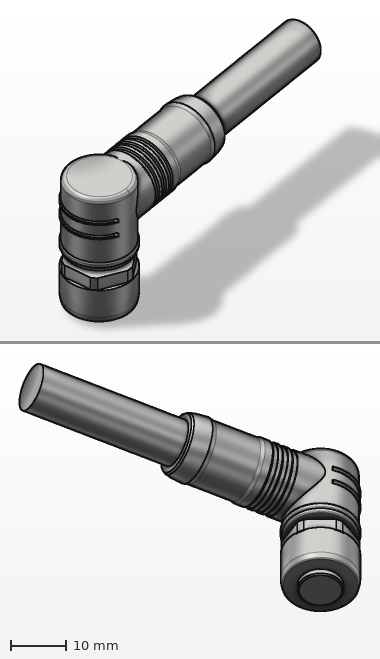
import cadquery as cq
import math


housing_top = 29.7
housing_bottom = 13.1
housing_radius = 7.0
housing_top_fillet = 1.0
housing_bottom_fillet = 0.3

hex_top = 11.65
nut_top = 8.9
nut_taper_top = 2.7
nut_bottom = 1.35
nut_radius = 7.3
nut_end_radius = 7.0
nut_end_fillet = 0.3
hex_across_flats = 13.0
hex_corner_radius = 7.15
neck_radius = 4.0
insert_radius = 4.2
insert_chamfer = 0.3

ring_diameter = 14.6
ring_radius = ring_diameter / 2
rib_width = 0.8
rib_heights = (24.3, 21.0)
rib_end_left = 1.35
rib_end_right = -2.9
collar_width = 1.15
collar_height = 14.55
ring_fillet = 0.235

arm_diameter = 13.0
arm_radius = arm_diameter / 2
arm_axis_height = housing_top - arm_radius
groove_radius = 6.25
groove_start = 8.3
groove_floor_width = 0.9
groove_slope_width = 0.35
groove_pitch = 2.0
groove_count = 3
barrel_radius = groove_radius
barrel_start = 15.95
shoulder_start = 15.15
barrel_end = 25.1
grip_crest = 26.0
grip_taper_end = 29.55
grip_end = 29.95
grip_taper_radius = 6.0
grip_end_radius = 5.7
grip_bulge = 0.15
cable_diameter = 9.1
cable_radius = cable_diameter / 2
overall_length = 67.3
cable_end = overall_length - ring_radius


def disc(bottom, top, radius):
    """Cylinder on the housing axis between two heights."""
    return cq.Workplane("XY").workplane(offset=bottom).circle(radius).extrude(top - bottom)


def rounded_ring(middle, width):
    """Disc with rounded rims that stands proud of the housing as a ring."""
    ring = disc(middle - width / 2, middle + width / 2, ring_radius)
    return ring.faces("<Z or >Z").edges().fillet(ring_fillet)


def housing():
    body = disc(housing_bottom, housing_top, housing_radius)
    body = body.faces(">Z").edges().fillet(housing_top_fillet)
    body = body.faces("<Z").edges().fillet(housing_bottom_fillet)
    return body.union(rounded_ring(collar_height, collar_width))


def rib(middle):
    """Partial ring around the -Y side of the housing."""
    reach = 2 * ring_radius
    block = cq.Workplane("XY").box(reach, reach, rib_width, centered=(False, False, True))
    left_side = block.translate((-reach, rib_end_left - reach, middle))
    right_side = block.translate((0, rib_end_right - reach, middle))
    return rounded_ring(middle, rib_width).intersect(left_side.union(right_side))


def coupling_nut():
    nut = (
        cq.Workplane("XZ")
        .moveTo(0, nut_bottom)
        .lineTo(nut_end_radius, nut_bottom)
        .lineTo(nut_radius, nut_taper_top)
        .lineTo(nut_radius, nut_top)
        .lineTo(0, nut_top)
        .close()
        .revolve(360, (0, 0, 0), (0, 1, 0))
    )
    nut = nut.faces("<Z").edges().fillet(nut_end_fillet)
    hex_diameter = hex_across_flats / math.cos(math.pi / 6)
    hexagon = cq.Workplane("XY").workplane(offset=nut_top).polygon(6, hex_diameter)
    hexagon = hexagon.extrude(hex_top - nut_top)
    hexagon = hexagon.intersect(disc(nut_top, hex_top, hex_corner_radius))
    return nut.union(hexagon)


def contact_insert():
    insert = disc(0, nut_bottom, insert_radius).faces("<Z").edges().chamfer(insert_chamfer)
    return insert.union(disc(nut_bottom, housing_bottom, neck_radius))


def groove(start):
    """Ring cutter with a square near wall and a sloping far wall."""
    floor_end = start + groove_floor_width
    rim = floor_end + groove_slope_width
    return (
        cq.Workplane("XY")
        .moveTo(groove_radius, start)
        .lineTo(ring_radius, start)
        .lineTo(ring_radius, rim)
        .lineTo(arm_radius, rim)
        .lineTo(groove_radius, floor_end)
        .close()
        .revolve(360, (0, 0, 0), (0, 1, 0))
    )


def cable_arm():
    """Arm, grip and cable turned around the cable axis, then grooved."""
    flank_middle = (
        (arm_radius + grip_taper_radius) / 2 + grip_bulge,
        (grip_crest + grip_taper_end) / 2,
    )
    arm = (
        cq.Workplane("XY")
        .moveTo(0, 0)
        .lineTo(arm_radius, 0)
        .lineTo(arm_radius, shoulder_start)
        .lineTo(barrel_radius, barrel_start)
        .lineTo(barrel_radius, barrel_end)
        .lineTo(arm_radius, grip_crest)
        .threePointArc(flank_middle, (grip_taper_radius, grip_taper_end))
        .lineTo(grip_end_radius, grip_end)
        .lineTo(cable_radius, grip_end)
        .lineTo(cable_radius, cable_end)
        .lineTo(0, cable_end)
        .close()
        .revolve(360, (0, 0, 0), (0, 1, 0))
    )
    for index in range(groove_count):
        arm = arm.cut(groove(groove_start + index * groove_pitch))
    return arm.translate((0, 0, arm_axis_height))


result = housing().union(cable_arm()).union(coupling_nut()).union(contact_insert())
for rib_height in rib_heights:
    result = result.union(rib(rib_height))